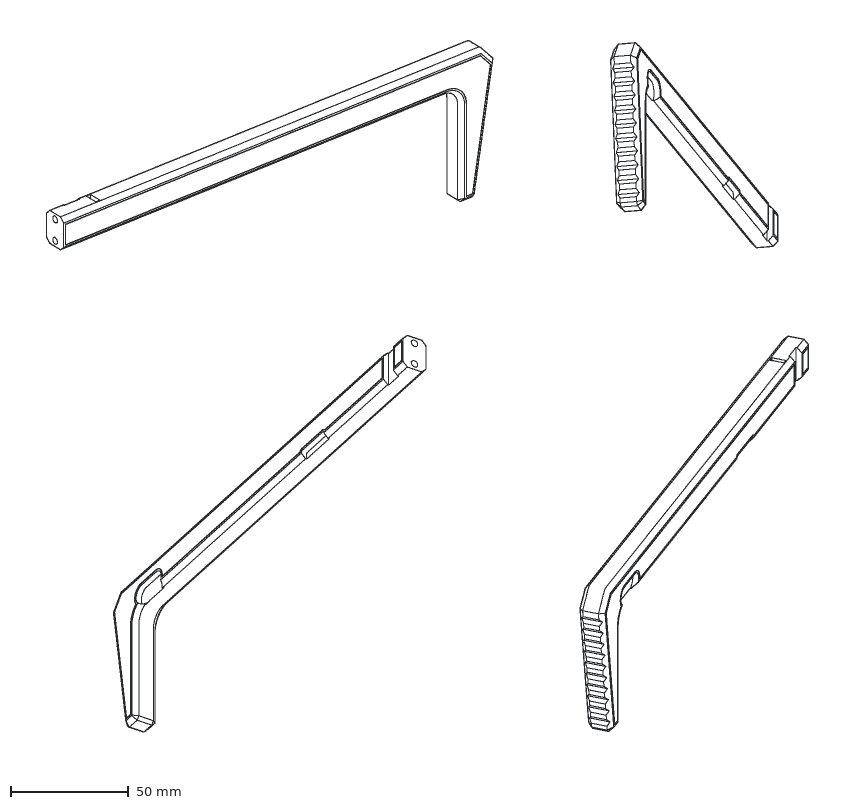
import cadquery as cq
import math

length = 238.0
width = 12.0
height = 72.0
bar_height = 16.2

panel_height = 0.2
rim_width = 0.9
edge_chamfer = 2.1
half_body = width / 2 - panel_height

leg_front = 218.5
leg_inner_radius = 7.5
rear_corner_run = 7.4
rear_corner_drop = 8.3
rear_corner_radius = 2.9
toe_rear = 227.7
toe_chamfer = 1.5

groove_count = 10
groove_pitch = 6.0
groove_width = 3.5
groove_depth = 1.07
first_groove_drop = 13.3

recess_depth = 2.9
slot_rear = 217.2
slot_front = 196.7
slot_radius = 4.3
slot_center_z = -12.1
relief_rear = 82.8
relief_front = 64.5
relief_top = -13.0
relief_corner = 0.7
notch_rear = 16.0
notch_front = 7.9

top_slot_center = 21.0
top_slot_width = 2.1
top_slot_length = 6.5
top_slot_depth = 2.4
hole_diameter = 3.0
hole_depth = 7.1
hole_edge_distance = 2.9


def make_body():
    """L-shaped blank with chamfered long edges on both sides."""
    outline = [
        (0, 0),
        (length - rear_corner_run, 0),
        (length, -rear_corner_drop),
        (toe_rear, toe_chamfer - height),
        (toe_rear - toe_chamfer, -height),
        (leg_front + toe_chamfer, -height),
        (leg_front, toe_chamfer - height),
        (leg_front, -bar_height),
        (0, -bar_height),
    ]
    blank = cq.Workplane("YZ").polyline(outline).close().extrude(half_body, both=True)
    corner = cq.selectors.NearestToPointSelector((0, length - rear_corner_run, 0))
    blank = blank.edges("|X").edges(corner).fillet(rear_corner_radius)
    elbow = cq.selectors.NearestToPointSelector((0, leg_front, -bar_height))
    blank = blank.edges("|X").edges(elbow).fillet(leg_inner_radius)
    return blank.faces("<X or >X").edges("not <Y").chamfer(edge_chamfer)


def recess_floor(rear, front, center_z):
    """Workplane at the floor of a -X side recess, centred on that recess."""
    floor = cq.Workplane("YZ").workplane(offset=recess_depth - width / 2)
    return floor.center((rear + front) / 2, center_z)


def cut_side_recesses(body):
    """Slot, relief and notch, all sunk to the same depth in the -X side."""
    slot = (
        recess_floor(slot_rear, slot_front, slot_center_z)
        .slot2D(slot_rear - slot_front, 2 * slot_radius)
        .extrude(-width)
    )
    relief = (
        recess_floor(relief_rear, relief_front, relief_top - bar_height / 2)
        .rect(relief_rear - relief_front, bar_height)
        .extrude(-width)
        .edges("|X and >Z")
        .fillet(relief_corner)
    )
    notch = (
        recess_floor(notch_rear, notch_front, -bar_height / 2)
        .rect(notch_rear - notch_front, 2 * bar_height)
        .extrude(-width)
    )
    return body.cut(slot).cut(relief).cut(notch)


def add_side_panels(body):
    """Raised panels that keep a rim to every border of the side faces."""
    paneled = body
    for selector, direction in (("<X", -1), (">X", 1)):
        for face in body.faces(selector).vals():
            for border in face.outerWire().offset2D(-rim_width):
                panel = cq.Solid.extrudeLinear(border, [], cq.Vector(direction * panel_height, 0, 0))
                paneled = paneled.union(cq.Workplane(obj=panel))
    return paneled


def cut_serrations(body):
    """Evenly spaced V grooves across the back of the leg."""
    slope_run = length - toe_rear
    slope_drop = height - toe_chamfer - rear_corner_drop
    tilt = math.degrees(math.atan2(slope_run, slope_drop))
    groove = (
        cq.Workplane("YZ")
        .polyline([(-groove_depth, 0), (groove_depth, groove_width), (groove_depth, -groove_width)])
        .close()
        .extrude(width, both=True)
        .rotate((0, 0, 0), (1, 0, 0), -tilt)
    )
    for index in range(groove_count):
        drop = first_groove_drop + index * groove_pitch
        back = length - (drop - rear_corner_drop) * slope_run / slope_drop
        body = body.cut(groove.translate((0, back, -drop)))
    return body


def cut_top_slot(body):
    """Short slot across the top near the front end."""
    slot = cq.Workplane("XY").center(0, top_slot_center).rect(top_slot_length, top_slot_width)
    return body.cut(slot.extrude(-top_slot_depth))


def cut_front_holes(body):
    """Two blind holes in the front end, one near the top and one near the bottom."""
    heights = (-hole_edge_distance, hole_edge_distance - bar_height)
    holes = cq.Workplane("XZ").pushPoints([(0, z) for z in heights]).circle(hole_diameter / 2)
    return body.cut(holes.extrude(-hole_depth))


body = cut_side_recesses(make_body())
body = add_side_panels(body)
body = cut_serrations(body)
body = cut_top_slot(body)
result = cut_front_holes(body)